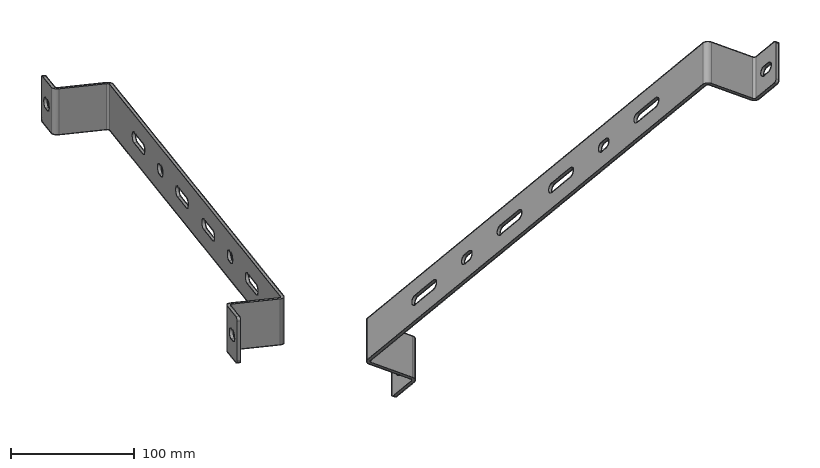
import cadquery as cq

overall_length = 562.0
depth = 50.0
height = 40.0
thickness = 3.0
inner_bend_radius = 2.0
outer_bend_radius = inner_bend_radius + thickness
foot_length = 31.0
corner_radius = 3.0

slot_width = 9.0
short_slot_length = 15.0
long_slot_length = 36.0
foot_slot_inset = 14.5
short_slot_offset = 100.0
long_slot_spacing = 62.5

half_length = overall_length / 2
leg_outer_x = half_length - foot_length
leg_inner_x = leg_outer_x - thickness


def box(x_start, x_end, y_start, y_end):
    """Full-height block between two X and two Y positions."""
    return (
        cq.Workplane("XY")
        .box(x_end - x_start, y_end - y_start, height, centered=False)
        .translate((x_start, y_start, 0))
    )


def bent_strip():
    """Hat-shaped strip with rounded bends, open towards -Y."""
    strip = box(-leg_outer_x, leg_outer_x, 0, depth)
    strip = strip.edges("|Z and >Y").fillet(outer_bend_radius)
    cavity = box(-leg_inner_x, leg_inner_x, -thickness, depth - thickness)
    cavity = cavity.edges("|Z and >Y").fillet(inner_bend_radius)
    strip = strip.cut(cavity)

    for side in (-1, 1):
        x_ends = sorted((side * leg_inner_x, side * half_length))
        strip = strip.union(box(*x_ends, 0, thickness))
        for x, y, radius in (
            (side * leg_inner_x, 0, outer_bend_radius),
            (side * leg_outer_x, thickness, inner_bend_radius),
        ):
            bend_edge = cq.selectors.NearestToPointSelector((x, y, height / 2))
            strip = strip.edges(bend_edge).fillet(radius)
    return strip


def round_foot_corners(strip):
    """Round the upper and lower corners at the ends of both feet."""
    for end in ("<X", ">X"):
        strip = strip.faces(end).edges("|Y").fillet(corner_radius)
    return strip


def slot_cutter(x, length):
    """Horizontal slot through the strip along Y, at mid-height."""
    return (
        cq.Workplane("XZ", origin=(x, 0, height / 2))
        .slot2D(length, slot_width)
        .extrude(-depth)
    )


result = round_foot_corners(bent_strip())

slots = (
    (half_length - foot_slot_inset, short_slot_length),
    (short_slot_offset, short_slot_length),
    (short_slot_offset - long_slot_spacing, long_slot_length),
    (short_slot_offset + long_slot_spacing, long_slot_length),
)
for offset, length in slots:
    for side in (-1, 1):
        result = result.cut(slot_cutter(side * offset, length))